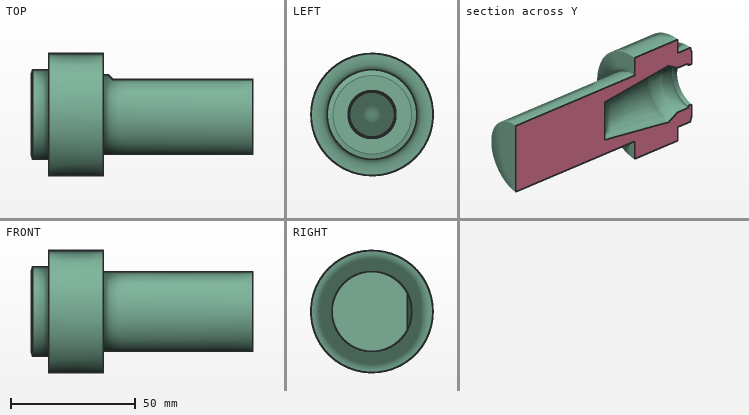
import cadquery as cq
import math

length = 89.0
spigot_diameter = 36.0
spigot_face_diameter = 31.5
spigot_chamfer_length = 0.6
collar_diameter = 49.0
collar_start = 7.0
collar_end = 29.0
shank_diameter = 32.0

flat_depth = 1.9
ramp_end = 32.75

mouth_diameter = 19.2
mouth_depth = 2.0
throat_diameter = 21.2
throat_end = collar_start
flare_diameter = 27.1
flare_end = 11.75
floor_diameter = 18.1
taper_half_angle = 8.0
taper_length = (flare_diameter - floor_diameter) / 2 / math.tan(math.radians(taper_half_angle))
cavity_depth = flare_end + taper_length


def revolve_about_x(outline):
    profile = cq.Workplane("XY").polyline(outline).close()
    return profile.revolve(360, (0, 0, 0), (1, 0, 0))


def make_body():
    outline = [
        (0, 0),
        (0, spigot_face_diameter / 2),
        (spigot_chamfer_length, spigot_diameter / 2),
        (collar_start, spigot_diameter / 2),
        (collar_start, collar_diameter / 2),
        (collar_end, collar_diameter / 2),
        (collar_end, shank_diameter / 2),
        (length, shank_diameter / 2),
        (length, 0),
    ]
    return revolve_about_x(outline)


def make_cavity():
    outline = [
        (0, 0),
        (0, mouth_diameter / 2),
        (mouth_depth, mouth_diameter / 2),
        (mouth_depth, throat_diameter / 2),
        (throat_end, throat_diameter / 2),
        (flare_end, flare_diameter / 2),
        (cavity_depth, floor_diameter / 2),
        (cavity_depth, 0),
    ]
    return revolve_about_x(outline)


def make_flat_cutter():
    shank_radius = shank_diameter / 2
    outline = [
        (ramp_end - flat_depth, shank_radius),
        (ramp_end, shank_radius - flat_depth),
        (length, shank_radius - flat_depth),
        (length, shank_radius),
    ]
    return cq.Workplane("XY").polyline(outline).close().extrude(shank_radius, both=True)


result = make_body().cut(make_cavity()).cut(make_flat_cutter())